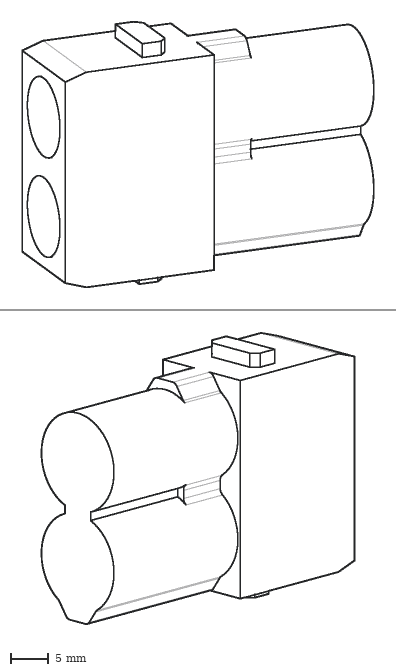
import cadquery as cq
import math

total_length = 45.1
body_width = 14.6
body_height = 30.3
body_length = 21.65

nose_length = 3.05
nose_drop = 1.0

barrel_diameter = 13.7
barrel_pitch = 14.0
bore_diameter = 11.0
bore_depth = 7.25

tab_height = 1.95
tab_start = 12.4
tab_length = 3.7
tab_corner = 1.0
top_tab_width = 9.1
bottom_tab_width = 6.95

key_top_width = 3.9
key_flank_angle = 55.0
key_radius = 1.0

web_width = 4.85
thick_web_width = 7.05
web_radius = 1.0

support_length = 6.95

barrel_radius = barrel_diameter / 2
barrel_length = total_length - body_length
barrel_z = barrel_pitch / 2


def section(y):
    """Sketch plane at depth y, with X to the right and Z up; negative extrusion runs toward +Y."""
    return cq.Workplane(cq.Plane(origin=(0, y, 0), xDir=(1, 0, 0), normal=(0, -1, 0)))


def make_cylinder_pair(y, diameter, length):
    """Two cylinders on the barrel axes, running from depth y toward +Y."""
    centers = [(0, -barrel_z), (0, barrel_z)]
    return section(y).pushPoints(centers).circle(diameter / 2).extrude(-length)


def make_body():
    """Rectangular block whose front end tapers at the top and bottom."""
    half_height = body_height / 2
    nose_half_height = half_height - nose_drop
    side_outline = [
        (0, -nose_half_height),
        (nose_length, -half_height),
        (body_length, -half_height),
        (body_length, half_height),
        (nose_length, half_height),
        (0, nose_half_height),
    ]
    return cq.Workplane("YZ").polyline(side_outline).close().extrude(body_width / 2, both=True)


def make_tab(width):
    """Tab on the top face, with its two rear corners cut off."""
    return (
        cq.Workplane("XY")
        .box(width, tab_length, tab_height, centered=(True, False, False))
        .edges("|Z and >Y")
        .chamfer(tab_corner)
        .translate((0, tab_start, body_height / 2))
    )


def make_key(length):
    """Key on top of the upper barrel, rounded along its top corners and filleted into the barrel."""
    top_z = body_height / 2
    barrel_top = barrel_z + barrel_radius
    base_z = barrel_z + barrel_radius / 2
    slope = math.tan(math.radians(key_flank_angle))
    half_top = key_top_width / 2
    half_base = half_top + (top_z - base_z) / slope
    profile = [
        (-half_base, base_z),
        (half_base, base_z),
        (half_top, top_z),
        (-half_top, top_z),
    ]
    key = section(body_length).polyline(profile).close().extrude(-length)
    barrel = section(body_length).center(0, barrel_z).circle(barrel_radius).extrude(-length)
    foot_box = cq.selectors.BoxSelector(
        (-barrel_radius, body_length, base_z),
        (barrel_radius, body_length + length, barrel_top),
    )
    return (
        barrel.union(key)
        .edges("|Y and >Z")
        .fillet(key_radius)
        .edges("|Y")
        .edges(foot_box)
        .fillet(key_radius)
    )


def make_thick_web():
    """Web between the barrels whose four corners are filleted into the barrels."""
    web = section(body_length).rect(thick_web_width, barrel_pitch).extrude(-support_length)
    barrels = make_cylinder_pair(body_length, barrel_diameter, support_length)
    corner_box = cq.selectors.BoxSelector(
        (-barrel_radius, body_length, -barrel_z / 2),
        (barrel_radius, body_length + support_length, barrel_z / 2),
    )
    return barrels.union(web).edges("|Y").edges(corner_box).fillet(web_radius)


barrels = make_cylinder_pair(body_length, barrel_diameter, barrel_length)
web = section(body_length).rect(web_width, barrel_pitch).extrude(-barrel_length)
bores = make_cylinder_pair(0, bore_diameter, bore_depth)

result = (
    make_body()
    .union(barrels)
    .union(web)
    .union(make_thick_web())
    .union(make_key(support_length))
    .union(make_key(barrel_length).mirror("XY"))
    .union(make_tab(top_tab_width))
    .union(make_tab(bottom_tab_width).mirror("XY"))
    .cut(bores)
)